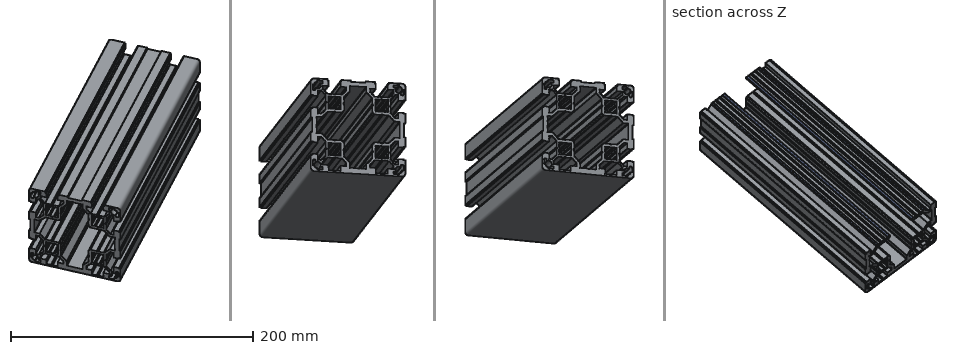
import cadquery as cq

size = 80.0
length = 200.0
half = size / 2
corner_radius = 3.0

notch_half = 0.8
notch_depth = 0.5

slot_offset = size / 4
mouth_width = 10.2
mouth_half = mouth_width / 2
mouth_step_width = 0.5
mouth_step_depth = 1.5
mouth_edge_bevel = 0.3
lip_depth = 6.0
cavity_half = 10.0
cavity_wall_depth = 8.5
floor_depth = 12.5
floor_half = cavity_half - (floor_depth - cavity_wall_depth)
closed_skin = 1.7

arm_half = 7.0
arm_wall = 4.8
arm_end = half - arm_wall
arm_shoulder_depth = 9.5
arm_shoulder = half - arm_shoulder_depth
core_inner_side = 12.0
core_inner_bevel = 1.5
core_bevel_lead_in = 0.5
core_bevel_drop = 0.2
inner_corner_bevel = 0.3

bore_half = 5.2
rib_offset = 2.2
rib_half = 0.7
rib_height = 0.5

hole_inset = 5.5
hole_radius = 2.8
lobe_skin = 1.7
lobe_width = 2.5
lobe_start = 5.5
lobe_end = 10.2

recess_top_half = 6.5
recess_bottom_half = 5.8
recess_depth = 1.1

TOP, LEFT, BOTTOM, RIGHT = 0, 90, 180, 270
OPEN_SIDES = (TOP, LEFT, RIGHT)
ALL_SIDES = (TOP, LEFT, BOTTOM, RIGHT)


def prism(points):
    """Closed outline in X and Z, extruded along the whole length in Y."""
    return cq.Workplane("XZ").polyline(points).close().extrude(length / 2, both=True)


def turned(body, angle):
    """Body turned about the long axis, from the top side to another side."""
    return body.rotate((0, 0, 0), (0, -1, 0), angle)


def mirrored(points):
    """Outline completed with its mirror image across X = 0."""
    return points + [(-x, z) for x, z in reversed(points)]


def slot_cavity(is_open):
    """T-slot of the top side, centred on X = 0."""
    if is_open:
        step_half = mouth_half + mouth_step_width
        mouth = [
            (step_half + mouth_edge_bevel, half),
            (step_half, half - mouth_edge_bevel),
            (step_half, half - mouth_step_depth),
            (mouth_half, half - mouth_step_depth),
        ]
    else:
        skin_face = half - closed_skin
        mouth = [
            (0, skin_face + notch_depth),
            (notch_half, skin_face),
            (mouth_half, skin_face),
        ]
    right_half = mouth + [
        (mouth_half, half - lip_depth),
        (cavity_half, half - lip_depth),
        (cavity_half, half - cavity_wall_depth),
        (floor_half, half - floor_depth),
        (notch_half, half - floor_depth),
    ]
    notch_tip = [(0, half - floor_depth - notch_depth)]
    left_half = [(-x, z) for x, z in reversed(right_half)]
    return prism(right_half + notch_tip + left_half)


def side_recess():
    """Shallow recess along the middle of the top side."""
    return prism(mirrored([
        (recess_top_half, half),
        (recess_bottom_half, half - recess_depth),
    ]))


def central_cavity():
    """Cross-shaped cavity between the four cores, with bevelled corners."""
    slope_end = arm_shoulder - (core_inner_side - arm_half)
    lower_edge = [
        (arm_end, arm_half - inner_corner_bevel),
        (arm_end - inner_corner_bevel, arm_half),
        (arm_shoulder, arm_half),
        (slope_end + inner_corner_bevel, core_inner_side - inner_corner_bevel),
        (slope_end - inner_corner_bevel, core_inner_side),
        (slot_offset + notch_half, core_inner_side),
        (slot_offset, core_inner_side + notch_depth),
        (slot_offset - notch_half, core_inner_side),
        (core_inner_side + core_inner_bevel + core_bevel_lead_in, core_inner_side),
        (core_inner_side + core_inner_bevel, core_inner_side + core_bevel_drop),
    ]
    upper_edge = [(z, x) for x, z in reversed(lower_edge)]
    quarter = lower_edge + upper_edge
    outline = quarter
    for _ in range(3):
        quarter = [(-z, x) for x, z in quarter]
        outline = outline + quarter
    return prism(outline)


def core_bore():
    """Square bore centred on the long axis, with two ribs on every wall."""
    bore = cq.Workplane("XY").box(2 * bore_half, length, 2 * bore_half)
    for angle in ALL_SIDES:
        for offset in (-rib_offset, rib_offset):
            rib = prism([
                (offset - rib_half, bore_half),
                (offset, bore_half - rib_height),
                (offset + rib_half, bore_half),
            ])
            bore = bore.cut(turned(rib, angle))
    return bore


def corner_cavity():
    """Cavity of the top right corner."""
    hole_centre = half - hole_inset
    hole = (
        cq.Workplane("XZ")
        .center(hole_centre, hole_centre)
        .circle(hole_radius)
        .extrude(length / 2, both=True)
    )
    lobe_radius = lobe_width / 2
    lobe_top = half - lobe_skin
    lobe_bottom = lobe_top - lobe_width
    lobe_tip = half - lobe_end
    lobe = (
        cq.Workplane("XZ")
        .moveTo(half - lobe_start, lobe_top)
        .lineTo(lobe_tip + lobe_radius, lobe_top)
        .threePointArc((lobe_tip, lobe_top - lobe_radius), (lobe_tip + lobe_radius, lobe_bottom))
        .lineTo(half - lobe_start, lobe_bottom)
        .close()
        .extrude(length / 2, both=True)
    )
    other_lobe = lobe.rotate((0, 0, 0), (1, 0, 1), 180)
    return hole.union(lobe).union(other_lobe)


profile = cq.Workplane("XY").box(size, length, size).edges("|Y").fillet(corner_radius)
profile = profile.cut(central_cavity())

for side in ALL_SIDES:
    slot = slot_cavity(side in OPEN_SIDES)
    for offset in (-slot_offset, slot_offset):
        profile = profile.cut(turned(slot.translate((offset, 0, 0)), side))
    profile = profile.cut(turned(corner_cavity(), side))

for side in OPEN_SIDES:
    profile = profile.cut(turned(side_recess(), side))

for x in (-slot_offset, slot_offset):
    for z in (-slot_offset, slot_offset):
        profile = profile.cut(core_bore().translate((x, 0, z)))

result = profile